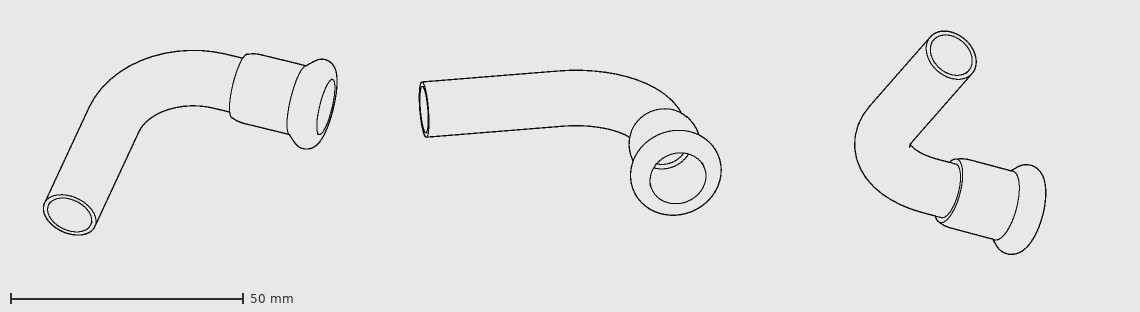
import cadquery as cq
import math

tube_radius = 12.0 / 2
tube_bore_radius = 10.0 / 2
bend_radius = 18.0
leg_length = 30.0

overall_x = 48.0
socket_radius = 15.3 / 2
socket_bore_radius = 12.2 / 2
socket_length = 19.5
shoulder_length = 2.6
shoulder_end_radius = 7.05
flare_start = 6.25

bead_outer_radius = 19.8 / 2
bead_round = 2.65
bead_flare_offset = 1.55

mouth_x = overall_x - tube_radius
socket_start_x = mouth_x - socket_length
shoulder_end_x = socket_start_x + shoulder_length
bead_center_x = mouth_x - bead_round
bead_center_radius = bead_outer_radius - bead_round


def bent_rod(radius):
    """Solid rod along the leg, the quarter bend and the straight run into the socket."""
    path = (
        cq.Workplane("XY")
        .moveTo(0, -leg_length)
        .lineTo(0, 0)
        .radiusArc((bend_radius, bend_radius), bend_radius)
        .lineTo(shoulder_end_x, bend_radius)
    )
    return cq.Workplane("XZ", origin=(0, -leg_length, 0)).circle(radius).sweep(path)


def socket_blank():
    """Solid of revolution with a rounded shoulder, a sleeve, a conical flare and a bead."""
    shoulder_drop = socket_radius - shoulder_end_radius
    shoulder_round = (shoulder_length**2 + shoulder_drop**2) / (2 * shoulder_drop)
    middle_x = shoulder_end_x - shoulder_length / 2
    middle_drop = shoulder_round - math.sqrt(shoulder_round**2 - (shoulder_length / 2) ** 2)
    flare_end_radius = bead_center_radius + math.sqrt(bead_round**2 - bead_flare_offset**2)
    profile = (
        cq.Workplane("XY", origin=(0, bend_radius, 0))
        .moveTo(socket_start_x, 0)
        .lineTo(socket_start_x, shoulder_end_radius)
        .threePointArc((middle_x, socket_radius - middle_drop), (shoulder_end_x, socket_radius))
        .lineTo(mouth_x - flare_start, socket_radius)
        .lineTo(bead_center_x - bead_flare_offset, flare_end_radius)
        .threePointArc((bead_center_x, bead_outer_radius), (mouth_x, bead_center_radius))
        .lineTo(mouth_x, 0)
        .close()
    )
    return profile.revolve(360, (0, 0, 0), (1, 0, 0))


def socket_bore():
    """Wider bore from the socket mouth to the stop at the inner end of the shoulder."""
    return (
        cq.Workplane("YZ", origin=(shoulder_end_x, bend_radius, 0))
        .circle(socket_bore_radius)
        .extrude(mouth_x - shoulder_end_x)
    )


elbow = bent_rod(tube_radius).union(socket_blank()).cut(bent_rod(tube_bore_radius)).cut(socket_bore())

result = cq.Compound.makeCompound([elbow.val()])